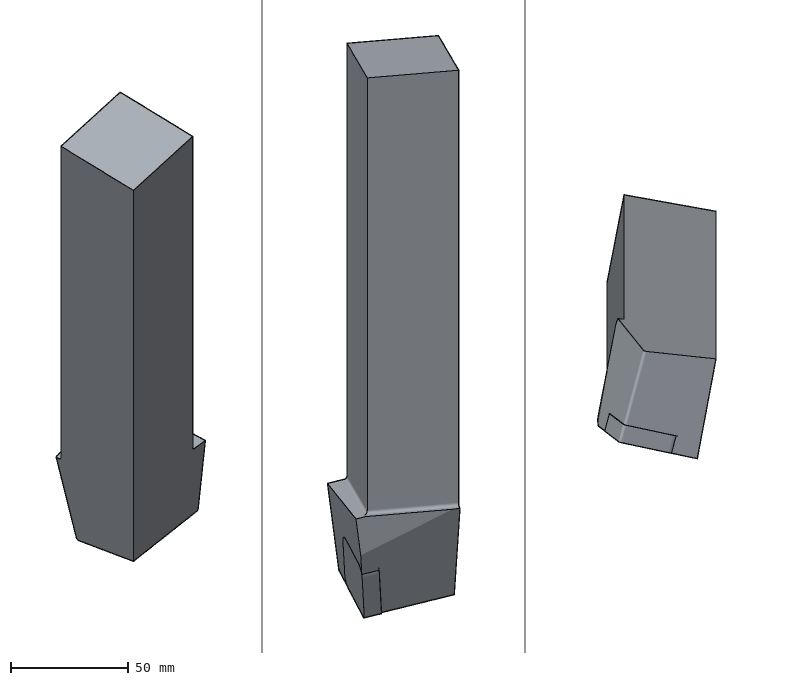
import cadquery as cq
import math

SHANK_SIDE = 40.0
TOTAL_WIDTH = 43.0
TOTAL_LENGTH = 251.3
SIDE_STEP = TOTAL_WIDTH - SHANK_SIDE

SHOULDER_HEIGHT = 50.5
SHOULDER_SLOPE = 10.0
SHOULDER_FILLET = 1.5
HEAD_DEPTH = 48.5
RAKE_BACK = 7.0
RAKE_SIDE = 4.0

EDGE_ANGLE = 15.0
CLEARANCE = 6.3
NOSE_X = 11.8
NOSE_Z = 5.5
NOSE_RADIUS = 1.3

INSERT_SIZE = 27.0
INSERT_THICKNESS = 7.8
INSERT_CORNER_RADIUS = 4.5
INSERT_PROUD = 0.3

TRIM_SPAN = 3 * TOTAL_LENGTH
REACH = 100.5


def nose_plane():
    """Plane square to the nose line, with its origin on the nose corner."""
    turn = math.radians(EDGE_ANGLE)
    along_end = cq.Vector(math.cos(turn), 0, math.sin(turn))
    along_side = cq.Vector(-math.sin(turn), 0, math.cos(turn))
    relief = (along_end + along_side) * math.tan(math.radians(CLEARANCE))
    nose_line = (cq.Vector(0, 1, 0) - relief).normalized()
    local_x = along_end - nose_line * along_end.dot(nose_line)
    return cq.Plane(origin=(NOSE_X, 0, NOSE_Z), xDir=local_x, normal=nose_line * -1)


def nose_prism(start, size, nose_radius, corner_radius):
    """Square prism along the nose line, rounded at the nose and at the other three corners."""
    end = start + size
    bulge = math.sqrt(0.5)
    nose_mid = start + nose_radius * (1 - bulge)
    low_mid = start + corner_radius * (1 - bulge)
    high_mid = end - corner_radius * (1 - bulge)
    return (
        cq.Workplane(nose_plane())
        .moveTo(start + nose_radius, start)
        .lineTo(end - corner_radius, start)
        .threePointArc((high_mid, low_mid), (end, start + corner_radius))
        .lineTo(end, end - corner_radius)
        .threePointArc((high_mid, high_mid), (end - corner_radius, end))
        .lineTo(start + corner_radius, end)
        .threePointArc((low_mid, high_mid), (start, end - corner_radius))
        .lineTo(start, start + nose_radius)
        .threePointArc((nose_mid, nose_mid), (start + nose_radius, start))
        .close()
        .extrude(REACH, both=True)
    )


def below_rake(depth):
    """Block spanning the whole tool, on the -Y side of the rake face moved inwards by depth."""
    slope_length = HEAD_DEPTH - SHANK_SIDE - SHOULDER_FILLET
    drop = slope_length * math.tan(math.radians(SHOULDER_SLOPE))
    high_point = cq.Vector(TOTAL_WIDTH, HEAD_DEPTH, SHOULDER_HEIGHT - drop)
    normal = cq.Vector(
        -math.tan(math.radians(RAKE_SIDE)), 1, -math.tan(math.radians(RAKE_BACK))
    ).normalized()
    plane = cq.Plane(origin=high_point - normal * depth, xDir=(0, 0, 1), normal=normal)
    return cq.Workplane(plane).rect(TRIM_SPAN, TRIM_SPAN).extrude(-REACH)


def make_blank():
    """Shank and untrimmed head."""
    shank = cq.Workplane("XY").box(SHANK_SIDE, SHANK_SIDE, TOTAL_LENGTH, centered=False)
    shank = shank.translate((SIDE_STEP, 0, 0))
    head = cq.Workplane("XY").box(TOTAL_WIDTH, REACH, SHOULDER_HEIGHT, centered=False)
    return shank.union(head)


def fillet_shoulder(blank):
    """Round the inner corners between the shank and the shoulder."""
    side_corner = (SIDE_STEP, SHANK_SIDE / 2, SHOULDER_HEIGHT)
    back_corner = (SIDE_STEP + SHANK_SIDE / 2, SHANK_SIDE, SHOULDER_HEIGHT)
    corners = blank.edges(cq.selectors.NearestToPointSelector(side_corner)).add(
        blank.edges(cq.selectors.NearestToPointSelector(back_corner))
    )
    return corners.fillet(SHOULDER_FILLET)


def above_back_slope():
    """Wedge over the back of the shoulder, starting where the fillet ends."""
    start = SHANK_SIDE + SHOULDER_FILLET
    drop = REACH * math.tan(math.radians(SHOULDER_SLOPE))
    return (
        cq.Workplane("YZ")
        .moveTo(start, SHOULDER_HEIGHT)
        .lineTo(start + REACH, SHOULDER_HEIGHT)
        .lineTo(start + REACH, SHOULDER_HEIGHT - drop)
        .close()
        .extrude(TOTAL_WIDTH)
    )


def make_insert():
    """Square insert with a small nose radius and three larger round corners, flush with the rake face."""
    return (
        nose_prism(-INSERT_PROUD, INSERT_SIZE, NOSE_RADIUS, INSERT_CORNER_RADIUS)
        .intersect(below_rake(0))
        .cut(below_rake(INSERT_THICKNESS))
    )


def make_holder(insert):
    """Tool body with the flanks and rake face cut on its head and a pocket for the insert."""
    blank = fillet_shoulder(make_blank()).cut(above_back_slope())
    head_box = cq.Workplane("XY").box(REACH, REACH, SHOULDER_HEIGHT, centered=False)
    flanks = nose_prism(0, REACH, NOSE_RADIUS, INSERT_CORNER_RADIUS)
    waste = head_box.cut(flanks)
    return blank.cut(waste).intersect(below_rake(0)).cut(insert)


insert = make_insert()
holder = make_holder(insert)
result = cq.Compound.makeCompound([holder.val(), insert.val()])